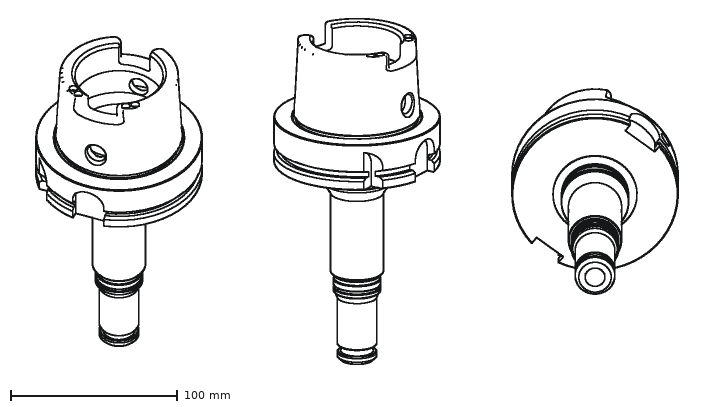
import cadquery as cq
import math


shank_length = 50.0
shank_base_radius = 38.0
taper_slope = 0.05
neck_radius = 37.2
neck_height = 1.6
face_relief_radius = 39.5
face_relief_depth = 0.8
rim_round = 1.6

mouth_radius = 28.4
bore_radius = 53.0 / 2
clamp_radius = 63.0 / 2
clamp_edge_z = 30.0
clamp_angle = math.radians(30)
cavity_floor_z = 5.1
floor_radius = 25.0
tube_seat_radius = 22.8 / 2
tube_seat_mouth_radius = 25.0 / 2
tube_seat_depth = 20.5
channel_radius = 12.0 / 2

rim_slot_half_width = 10.0
rim_slot_end_radius = 5.1
rim_slot_arc_y = 27.0
rim_slot_floor_fillet = 2.5
front_rim_slot_depth = 10.0
back_rim_slot_depth = 15.0
drill_points = [(15.5, -27.0), (20.1, -23.5)]
drill_diameter = 5.0
drill_depth = 3.3
drill_point_angle = math.radians(118)

cross_hole_z = 15.2
cross_hole_radius = 12.0 / 2
countersink_radius = 15.0 / 2
countersink_run_out = 2.0

flange_radius = 100.0 / 2
flange_thickness = 29.0
flange_chamfer = 0.51
groove_radius = 46.0
groove_top_z = -17.0
groove_floor_top_z = -19.0
groove_floor_bottom_z = -21.8
groove_bottom_z = -23.5
groove_lip_radius = 48.3
pad_radius = 25.3
pad_height = 0.8
slot_top_z = -4.7
front_slot_radius = 20.3 / 2
back_slot_radius = 22.5 / 2
slot_floor_y = 44.0
notch_wall = 31.0
chip_hole_diameter = 8.5
chip_hole_depth = 4.5
chip_hole_z = -7.6
chip_hole_angle = 110

bottom_z = shank_length - 205.5
collar_radius = 40.5 / 2
collar_grooves = [(-31.0, -34.0), (-37.8, -40.0)]
collar_groove_depth = 0.3
collar_cone_top_z = -41.7
body_top_z = -48.7
body_radius = 32.0 / 2
body_bottom_z = -99.5
band_radius = 28.5 / 2
band_grooves = [(-101.0, -104.0), (-107.0, -109.5)]
band_groove_depth = 0.51
band_bottom_z = -111.4
band_cone_radius = 13.4
band_cone_top_z = -112.2
tip_radius = 24.0 / 2
tip_top_z = -115.7
tip_bottom_z = -146.1
neck_tip_radius = 19.5 / 2
foot_top_z = -150.2
foot_edge = 0.8
foot_chamfer = 2.3
stem_edge = 0.5


def shank_radius(z):
    return shank_base_radius - taper_slope * (z - neck_height)


def turned_groove(radius, top, bottom, depth):
    """Outline points of a groove with 45-degree flanks, from top to bottom."""
    floor = radius - depth
    return [(radius, top), (floor, top - depth), (floor, bottom + depth), (radius, bottom)]


def turned_blank():
    flange_bottom_z = -flange_thickness
    pad_bottom_z = flange_bottom_z - pad_height
    edge = flange_radius - flange_chamfer
    outline = [
        (0, shank_length),
        (shank_radius(shank_length), shank_length),
        (shank_base_radius, neck_height),
        (neck_radius, neck_height - (shank_base_radius - neck_radius)),
        (neck_radius, -face_relief_depth),
        (face_relief_radius - face_relief_depth, -face_relief_depth),
        (face_relief_radius, 0),
        (edge, 0),
        (flange_radius, -flange_chamfer),
        (flange_radius, groove_top_z),
        (groove_radius, groove_floor_top_z),
        (groove_radius, groove_floor_bottom_z),
        (groove_lip_radius, groove_floor_bottom_z),
        (flange_radius, groove_bottom_z),
        (flange_radius, flange_bottom_z + flange_chamfer),
        (edge, flange_bottom_z),
        (pad_radius, flange_bottom_z),
        (pad_radius, pad_bottom_z),
        (collar_radius, pad_bottom_z),
    ]
    for top, bottom in collar_grooves:
        outline += turned_groove(collar_radius, top, bottom, collar_groove_depth)
    outline += [
        (collar_radius, collar_cone_top_z),
        (body_radius, body_top_z),
        (body_radius, body_bottom_z + stem_edge),
        (body_radius - stem_edge, body_bottom_z),
        (band_radius, body_bottom_z),
    ]
    for top, bottom in band_grooves:
        outline += turned_groove(band_radius, top, bottom, band_groove_depth)
    outline += [
        (band_radius, band_bottom_z),
        (band_cone_radius, band_cone_top_z),
        (tip_radius, tip_top_z),
        (tip_radius, tip_bottom_z + foot_edge),
        (tip_radius - foot_edge, tip_bottom_z),
        (neck_tip_radius, tip_bottom_z),
        (neck_tip_radius, foot_top_z),
        (tip_radius - foot_edge, foot_top_z),
        (tip_radius, foot_top_z - foot_edge),
        (tip_radius, bottom_z + foot_chamfer),
        (tip_radius - foot_chamfer, bottom_z),
        (0, bottom_z),
    ]
    return cq.Workplane("YZ").polyline(outline).close().revolve(360, (0, 0, 0), (0, 1, 0))


def cavity():
    mouth_depth = mouth_radius - bore_radius
    clamp_drop = (clamp_radius - bore_radius) * math.tan(clamp_angle)
    floor_rise = (clamp_radius - floor_radius) * math.tan(clamp_angle)
    seat_chamfer = tube_seat_mouth_radius - tube_seat_radius
    seat_bottom_z = cavity_floor_z - tube_seat_depth
    outline = [
        (0, shank_length),
        (mouth_radius, shank_length),
        (bore_radius, shank_length - mouth_depth),
        (bore_radius, clamp_edge_z),
        (clamp_radius, clamp_edge_z - clamp_drop),
        (clamp_radius, cavity_floor_z + floor_rise),
        (floor_radius, cavity_floor_z),
        (tube_seat_mouth_radius, cavity_floor_z),
        (tube_seat_radius, cavity_floor_z - seat_chamfer),
        (tube_seat_radius, seat_bottom_z),
        (channel_radius, seat_bottom_z),
        (channel_radius, bottom_z),
        (0, bottom_z),
    ]
    return cq.Workplane("XZ").polyline(outline).close().revolve(360, (0, 0, 0), (0, 1, 0))


def rim_slot(depth):
    """Cutter for the rim slot on the -Y side; it flares outwards along an arc."""
    w = rim_slot_half_width
    r = rim_slot_end_radius
    y_arc = -rim_slot_arc_y
    y_flare = y_arc - r
    x_arc_end = w + r
    x_flare = x_arc_end + r
    y_out = -flange_radius
    r45 = r * math.sqrt(0.5)
    cutter = (
        cq.Workplane("XY", origin=(0, 0, shank_length - depth))
        .moveTo(-w, 0)
        .lineTo(w, 0)
        .lineTo(w, y_arc)
        .threePointArc((x_arc_end - r45, y_arc - r45), (x_arc_end, y_flare))
        .lineTo(x_flare, y_flare)
        .lineTo(x_flare, y_out)
        .lineTo(-x_flare, y_out)
        .lineTo(-x_flare, y_flare)
        .lineTo(-x_arc_end, y_flare)
        .threePointArc((r45 - x_arc_end, y_arc - r45), (-w, y_arc))
        .close()
        .extrude(2 * depth)
    )
    gap = 0.2
    floor_z = shank_length - depth
    wall_foot = cq.selectors.BoxSelector(
        (-x_flare + gap, y_flare - gap, floor_z - gap),
        (x_flare - gap, -gap, floor_z + gap),
    )
    return cutter.edges(wall_foot).fillet(rim_slot_floor_fillet)


def rim_drill(x, y):
    radius = drill_diameter / 2
    tip = radius / math.tan(drill_point_angle / 2)
    outline = [(0, 0), (radius, 0), (radius, -drill_depth), (0, -drill_depth - tip)]
    drill = cq.Workplane("XZ").polyline(outline).close().revolve(360, (0, 0, 0), (0, 1, 0))
    return drill.translate((x, y, shank_length))


def cross_hole():
    """Hole along Y with a 90-degree countersink at both ends."""
    outside = shank_radius(cross_hole_z)
    reach = outside + countersink_run_out
    outline = [
        (0, 0),
        (cross_hole_radius, 0),
        (cross_hole_radius, outside - (countersink_radius - cross_hole_radius)),
        (countersink_radius + reach - outside, reach),
        (0, reach),
    ]
    half = cq.Workplane("XY").polyline(outline).close().revolve(360, (0, 0, 0), (0, 1, 0))
    return half.union(half.mirror("XZ")).translate((0, 0, cross_hole_z))


def flange_slot(radius, x, floor_y):
    """Slot with a round upper end, cut along Y from floor_y to beyond the -Y side."""
    bottom = -flange_thickness - pad_height
    centre_z = slot_top_z - radius
    return (
        cq.Workplane("XZ", origin=(x, -floor_y, 0))
        .moveTo(-radius, bottom)
        .lineTo(-radius, centre_z)
        .threePointArc((0, slot_top_z), (radius, centre_z))
        .lineTo(radius, bottom)
        .close()
        .extrude(flange_radius)
    )


def chip_hole():
    hole = cq.Workplane("YZ", origin=(flange_radius - chip_hole_depth, 0, chip_hole_z))
    hole = hole.circle(chip_hole_diameter / 2).extrude(2 * chip_hole_depth)
    return hole.rotate((0, 0, 0), (0, 0, 1), chip_hole_angle)


result = turned_blank()
result = result.cut(rim_slot(front_rim_slot_depth))
result = result.cut(rim_slot(back_rim_slot_depth).mirror("XZ"))
result = result.faces(">Z").edges().fillet(rim_round)
result = result.cut(cavity())
for x, y in drill_points:
    result = result.cut(rim_drill(x, y)).cut(rim_drill(-x, y))
result = result.cut(cross_hole())

result = result.cut(flange_slot(front_slot_radius, 0, slot_floor_y))
result = result.cut(flange_slot(back_slot_radius, 0, slot_floor_y).mirror("XZ"))
result = result.cut(flange_slot(front_slot_radius, -notch_wall - front_slot_radius, notch_wall))
result = result.cut(chip_hole())